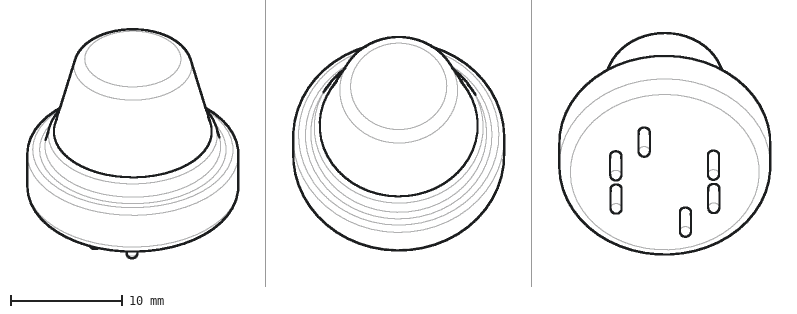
import cadquery as cq
import math

base_diameter = 19.0
base_height = 5.0
base_bottom_fillet = 1.0
base_top_fillet = 0.5

collar_bottom_diameter = 16.0
collar_top_diameter = 15.01
collar_top_z = 7.0
collar_fillet = 0.5

cap_bottom_diameter = 14.21
cap_top_diameter = 10.22
cap_top_z = 15.0
cap_top_fillet = 1.0

pin_diameter = 1.0
pin_length = 3.52
pin_circle_radius = 4.75
pin_angles = (45, 90, 135, 225, 270, 315)


def circles_within(diameter, z):
    """Select circular edges around the Z axis at this height, up to this diameter."""
    radius = diameter / 2
    tolerance = 0.002
    return cq.selectors.BoxSelector(
        (-radius - tolerance, -radius - tolerance, z - tolerance),
        (radius + tolerance, radius + tolerance, z + tolerance),
        boundingbox=True,
    )


def make_housing():
    """Revolve the stepped outline, then round its circular edges."""
    outline = [
        (0, 0),
        (base_diameter / 2, 0),
        (base_diameter / 2, base_height),
        (collar_bottom_diameter / 2, base_height),
        (collar_top_diameter / 2, collar_top_z),
        (cap_bottom_diameter / 2, collar_top_z),
        (cap_top_diameter / 2, cap_top_z),
        (0, cap_top_z),
    ]
    housing = cq.Workplane("XZ").polyline(outline).close().revolve(360, (0, 0), (0, 1))
    housing = housing.edges(circles_within(base_diameter, 0)).fillet(base_bottom_fillet)
    housing = housing.edges(circles_within(cap_top_diameter, cap_top_z)).fillet(cap_top_fillet)
    housing = housing.edges(circles_within(collar_bottom_diameter, base_height)).fillet(collar_fillet)
    outermost = cq.selectors.RadiusNthSelector(-1)
    base_rim = circles_within(base_diameter, base_height)
    housing = housing.edges(base_rim).edges(outermost).fillet(base_top_fillet)
    collar_rim = circles_within(collar_top_diameter, collar_top_z)
    return housing.edges(collar_rim).edges(outermost).fillet(collar_fillet)


def make_pin(angle):
    """Make one pin hanging from the base, with a hemispherical tip."""
    x = pin_circle_radius * math.cos(math.radians(angle))
    y = pin_circle_radius * math.sin(math.radians(angle))
    pin_radius = pin_diameter / 2
    shank_length = pin_length - pin_radius
    shank = cq.Workplane("XY").center(x, y).circle(pin_radius).extrude(-shank_length)
    tip = cq.Workplane("XY").sphere(pin_radius).translate((x, y, -shank_length))
    return shank.union(tip)


result = make_housing()
for pin_angle in pin_angles:
    result = result.union(make_pin(pin_angle))